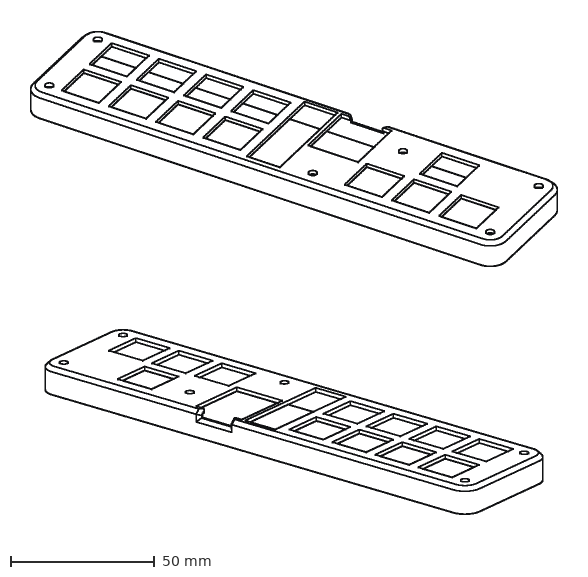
import cadquery as cq

length = 191.0
width = 46.0
height = 10.1
corner_radius = 6.5
edge_chamfer = 1.5

wall = 2.1
plate = 1.5
inner_length = length - 2 * wall
inner_width = width - 2 * wall
inner_height = height - plate

key_size = 15.0
last_column = 8
grid_span = 152.5
key_pitch = grid_span / last_column
first_key_x = -76.2
upper_row_y = 9.5
lower_row_y = upper_row_y - key_pitch
upper_row_columns = (0, 1, 2, 3, 7)
lower_row_columns = (0, 1, 2, 3, 6, 7, 8)

opening_back_y = 20.0
slot_x = -1.0
slot_width = 13.4
slot_length = 39.3
bay_x = 17.4
bay_width = 20.2
bay_length = 22.7

notch_x = 17.2
notch_width = 13.2
notch_depth = 3.0
mouth_chamfer = 1.3
mouth_angle = 45
slope_flare_length = 7.6

screw_diameter = 3.0
screw_x = length / 2 - corner_radius
screw_y = width / 2 - corner_radius
inner_screws = [(37.5, 11.0), (17.4, -screw_y)]


def rounded_block(size_x, size_y, size_z, radius):
    """Block standing on Z = 0 with rounded vertical edges."""
    block = cq.Workplane("XY").box(size_x, size_y, size_z, centered=(True, True, False))
    return block.edges("|Z").fillet(radius)


def case_shell():
    """Open-bottomed case with a chamfer around its top face."""
    body = rounded_block(length, width, height, corner_radius)
    body = body.faces(">Z").edges().chamfer(edge_chamfer)
    cavity = rounded_block(inner_length, inner_width, inner_height, corner_radius - wall)
    return body.cut(cavity)


def plate_openings(centres, size_x, size_y):
    """Rectangular cutters that pass through the top plate."""
    sketch = cq.Workplane("XY").workplane(offset=inner_height).pushPoints(centres)
    return sketch.rect(size_x, size_y).extrude(plate)


def key_centres():
    upper = [(first_key_x + column * key_pitch, upper_row_y) for column in upper_row_columns]
    lower = [(first_key_x + column * key_pitch, lower_row_y) for column in lower_row_columns]
    return upper + lower


def mouth_flare(normal, y, size_up):
    """Cutter as wide as the mouth on the face with this normal, narrowing inwards to the notch."""
    face = cq.Workplane(cq.Plane(origin=(notch_x, y, height), xDir=(1, 0, 0), normal=normal))
    flare = face.rect(notch_width + 2 * mouth_chamfer, size_up)
    return flare.extrude(-mouth_chamfer, taper=mouth_angle)


def connector_notch():
    """Notch from the bay through the back wall, with the outer edges of its mouth chamfered."""
    back_y = width / 2
    notch = (
        cq.Workplane("XZ", origin=(notch_x, back_y, height))
        .rect(notch_width, 2 * notch_depth)
        .extrude(back_y - opening_back_y)
    )
    wall_flare = mouth_flare((0, 1, 0), back_y, 2 * (notch_depth + mouth_chamfer))
    slope_flare = mouth_flare((0, 1, 1), back_y - edge_chamfer, slope_flare_length)
    return notch.union(wall_flare).union(slope_flare)


def screw_holes():
    corners = [(side_x * screw_x, side_y * screw_y) for side_x in (-1, 1) for side_y in (-1, 1)]
    holes = cq.Workplane("XY").pushPoints(corners + inner_screws)
    return holes.circle(screw_diameter / 2).extrude(height)


slot_centre = (slot_x, opening_back_y - slot_length / 2)
bay_centre = (bay_x, opening_back_y - bay_length / 2)

result = (
    case_shell()
    .cut(plate_openings(key_centres(), key_size, key_size))
    .cut(plate_openings([slot_centre], slot_width, slot_length))
    .cut(plate_openings([bay_centre], bay_width, bay_length))
    .cut(connector_notch())
    .cut(screw_holes())
)